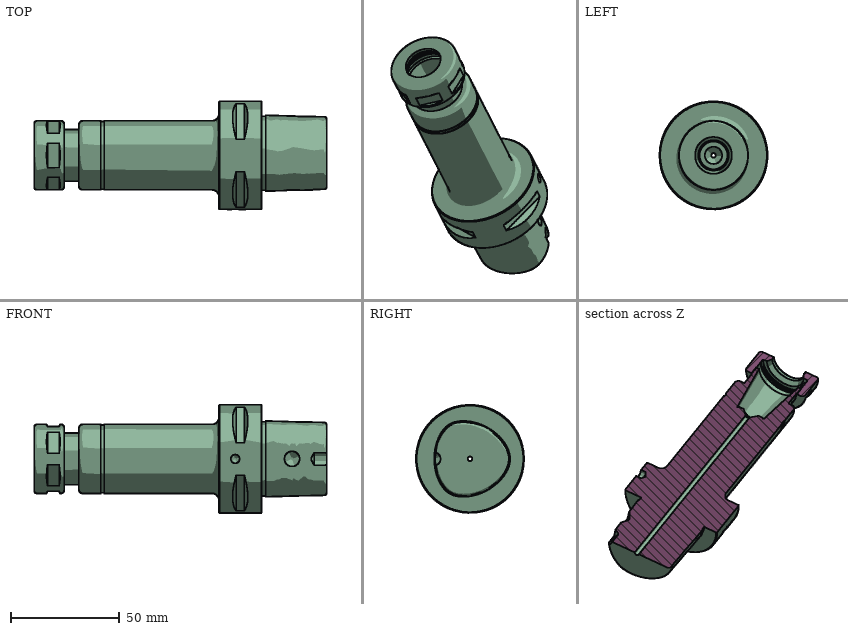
import cadquery as cq
import math

overall_length = 135.0

nut_diameter = 32.0
nut_length = 13.9
nut_front_fillet = 1.4
nut_rear_fillet = 1.6
nut_mouth_diameter = 17.0
nut_mouth_depth = 1.6
nut_cone_half_angle = 30.0
nut_cone_depth = 2.4
snap_ring_diameter = 21.0
snap_ring_start = 5.8
snap_ring_width = 0.5

flat_count = 6
flat_distance = 15.0
flat_start = 6.2
flat_end = 11.5
flat_wall_run = 0.5

neck_diameter = 24.0
nose_start = 9.7
shaft_start = 20.5
shaft_diameter = 32.0
shaft_front_fillet = 2.0
band_start = 30.6
band_width = 1.6
band_depth = 0.3
flange_start = 85.2
flange_end = 105.0
flange_diameter = 50.0
flange_chamfer = 0.4
flange_root_fillet = 3.1

collet_mouth_diameter = 21.0
collet_end_diameter = 14.0
collet_half_angle = 8.0
floor_diameter = 12.8
countersink_diameter = 8.0
countersink_angle = 90.0
coolant_diameter = 2.0

notch_count = 4
notch_centre = 95.0
notch_floor_width = 3.8
notch_floor_distance = 22.1
notch_wall_angle = 30.0

drill_point_angle = 118.0
flange_hole_diameter = 4.0
flange_hole_centre = 92.7
flange_hole_depth = 2.7
shank_hole_diameter = 7.0
shank_hole_centre = 119.0
shank_hole_depth = 1.6

shank_start = 106.8
shank_mean_radius = 17.5
lobe_height = 1.01
shank_taper = 1 / 20
shank_end_fillet = 1.4
relief_depth = 0.4
outline_points = 48

keyway_diameter = 6.1
keyway_length = 5.8
keyway_offset = 16.6


def revolve_about_axis(profile):
    """Revolve a closed (x, radius) profile about the X axis."""
    return profile.close().revolve(360, (0, 0, 0), (1, 0, 0))


def drill(diameter, length):
    """Solid of a drill along +Z: full diameter from z = 0 to length, then the point."""
    radius = diameter / 2
    point = radius / math.tan(math.radians(drill_point_angle / 2))
    half = cq.Workplane("XZ").lineTo(radius, 0).lineTo(radius, length).lineTo(0, length + point)
    return half.close().revolve(360, (0, 0, 0), (0, 1, 0))



def nut_flat_cutter():
    """Prism above the flat nearest to +Z, with sloping front and rear walls."""
    nut_radius = nut_diameter / 2
    top = flat_distance + 2 * (nut_radius - flat_distance)
    return (
        cq.Workplane("XZ")
        .moveTo(flat_start, flat_distance)
        .lineTo(flat_end, flat_distance)
        .lineTo(flat_end + 2 * flat_wall_run, top)
        .lineTo(flat_start - 2 * flat_wall_run, top)
        .close()
        .extrude(nut_radius, both=True)
    )


def make_nut():
    mouth_radius = nut_mouth_diameter / 2
    cone_end = nut_mouth_depth + nut_cone_depth
    cone_radius = mouth_radius + nut_cone_depth * math.tan(math.radians(nut_cone_half_angle))
    thread_radius = neck_diameter / 2
    ring_radius = snap_ring_diameter / 2
    ring_end = snap_ring_start + snap_ring_width

    nut = cq.Workplane("YZ").circle(nut_diameter / 2).extrude(nut_length)
    nut = nut.faces("<X").edges().fillet(nut_front_fillet)
    nut = nut.faces(">X").edges().fillet(nut_rear_fillet)
    bore = revolve_about_axis(
        cq.Workplane("XY")
        .lineTo(0, mouth_radius)
        .lineTo(nut_mouth_depth, mouth_radius)
        .lineTo(cone_end, cone_radius)
        .lineTo(cone_end, thread_radius)
        .lineTo(snap_ring_start, thread_radius)
        .lineTo(snap_ring_start, ring_radius)
        .lineTo(ring_end, ring_radius)
        .lineTo(ring_end, thread_radius)
        .lineTo(nut_length, thread_radius)
        .lineTo(nut_length, 0)
    )
    nut = nut.cut(bore)
    for i in range(flat_count):
        nut = nut.cut(nut_flat_cutter().rotate((0, 0, 0), (1, 0, 0), i * 360 / flat_count))
    return nut



def make_turned_body():
    """Nose, shaft with its shallow band, and flange, without bores."""
    neck_radius = neck_diameter / 2
    shaft_radius = shaft_diameter / 2
    band_radius = shaft_radius - band_depth
    band_end = band_start + band_width
    flange_radius = flange_diameter / 2
    front_rounding = cq.Vector(shaft_start + shaft_front_fillet, shaft_radius - shaft_front_fillet)
    root_rounding = cq.Vector(flange_start - flange_root_fillet, shaft_radius + flange_root_fillet)
    diagonal = math.sqrt(0.5)
    front_mid = front_rounding + cq.Vector(-diagonal, diagonal) * shaft_front_fillet
    root_mid = root_rounding + cq.Vector(diagonal, -diagonal) * flange_root_fillet
    return revolve_about_axis(
        cq.Workplane("XY")
        .moveTo(nose_start, 0)
        .lineTo(nose_start, neck_radius)
        .lineTo(shaft_start, neck_radius)
        .lineTo(shaft_start, front_rounding.y)
        .threePointArc((front_mid.x, front_mid.y), (front_rounding.x, shaft_radius))
        .lineTo(band_start, shaft_radius)
        .lineTo(band_start, band_radius)
        .lineTo(band_end, band_radius)
        .lineTo(band_end, shaft_radius)
        .lineTo(root_rounding.x, shaft_radius)
        .threePointArc((root_mid.x, root_mid.y), (flange_start, root_rounding.y))
        .lineTo(flange_start, flange_radius - flange_chamfer)
        .lineTo(flange_start + flange_chamfer, flange_radius)
        .lineTo(flange_end - flange_chamfer, flange_radius)
        .lineTo(flange_end, flange_radius - flange_chamfer)
        .lineTo(flange_end, 0)
    )


def lobed_outline(x, mean_radius):
    """Closed three-lobed curve across the axis at x, with one lobe toward +Y."""
    points = []
    for i in range(outline_points):
        angle = math.pi + 2 * math.pi * i / outline_points
        reach = mean_radius + lobe_height * math.cos(3 * angle)
        swing = -3 * lobe_height * math.sin(3 * angle)
        across = reach * math.cos(angle) - swing * math.sin(angle)
        up = reach * math.sin(angle) + swing * math.cos(angle)
        points.append((across, up))
    return cq.Workplane("YZ", origin=(x, 0, 0)).spline(points, periodic=True).close()


def make_shank():
    end_radius = shank_mean_radius - (overall_length - shank_start) * shank_taper / 2
    large_end = lobed_outline(shank_start, shank_mean_radius).val()
    small_end = lobed_outline(overall_length, end_radius).val()
    shank = cq.Workplane(cq.Solid.makeLoft([large_end, small_end], True))
    shank = shank.faces(">X").edges().fillet(shank_end_fillet)
    relief_length = shank_start - flange_end
    relief = lobed_outline(flange_end, shank_mean_radius - relief_depth).extrude(relief_length)
    return shank.union(relief)


def collet_bore():
    """Collet taper with a raised floor, countersink and coolant hole through to the shank end."""
    mouth_radius = collet_mouth_diameter / 2
    end_radius = collet_end_diameter / 2
    floor_radius = floor_diameter / 2
    countersink_radius = countersink_diameter / 2
    coolant_radius = coolant_diameter / 2
    taper_end = nose_start + (mouth_radius - end_radius) / math.tan(math.radians(collet_half_angle))
    floor_x = taper_end - (end_radius - floor_radius)
    countersink_half_angle = math.radians(countersink_angle / 2)
    countersink_end = floor_x + (countersink_radius - coolant_radius) / math.tan(countersink_half_angle)
    return revolve_about_axis(
        cq.Workplane("XY")
        .moveTo(nose_start, 0)
        .lineTo(nose_start, mouth_radius)
        .lineTo(taper_end, end_radius)
        .lineTo(floor_x, floor_radius)
        .lineTo(floor_x, countersink_radius)
        .lineTo(countersink_end, coolant_radius)
        .lineTo(overall_length, coolant_radius)
        .lineTo(overall_length, 0)
    )


def gripper_notch():
    """Trapezoidal notch across the +Z side of the flange."""
    flange_radius = flange_diameter / 2
    half_floor = notch_floor_width / 2
    depth = flange_radius - notch_floor_distance
    half_top = half_floor + depth * math.tan(math.radians(notch_wall_angle))
    return (
        cq.Workplane("XZ")
        .moveTo(notch_centre - half_floor, notch_floor_distance)
        .lineTo(notch_centre + half_floor, notch_floor_distance)
        .lineTo(notch_centre + half_top, flange_radius)
        .lineTo(notch_centre - half_top, flange_radius)
        .close()
        .extrude(flange_radius, both=True)
    )


def cross_hole(x, diameter, outer_radius, depth):
    """Blind drilled hole toward +Y, its full-diameter depth counted from y = -outer_radius."""
    hole = drill(diameter, depth)
    return hole.rotate((0, 0, 0), (1, 0, 0), -90).translate((x, -outer_radius, 0))


def keyway():
    """Drilled groove along the -Y side, open at the shank end."""
    groove = drill(keyway_diameter, keyway_length)
    return groove.rotate((0, 0, 0), (0, 1, 0), -90).translate((overall_length, -keyway_offset, 0))


def make_holder():
    flange_radius = flange_diameter / 2
    holder = make_turned_body().union(make_shank()).cut(collet_bore())
    notch_step = 360 / notch_count
    for i in range(notch_count):
        angle = (i + 0.5) * notch_step
        holder = holder.cut(gripper_notch().rotate((0, 0, 0), (1, 0, 0), angle))
    holder = holder.cut(
        cross_hole(flange_hole_centre, flange_hole_diameter, flange_radius, flange_hole_depth)
    )
    holder = holder.cut(
        cross_hole(shank_hole_centre, shank_hole_diameter, shank_mean_radius, shank_hole_depth)
    )
    return holder.cut(keyway())


nut = make_nut()
holder = make_holder()

result = cq.Compound.makeCompound([nut.solids().val(), holder.solids().val()])